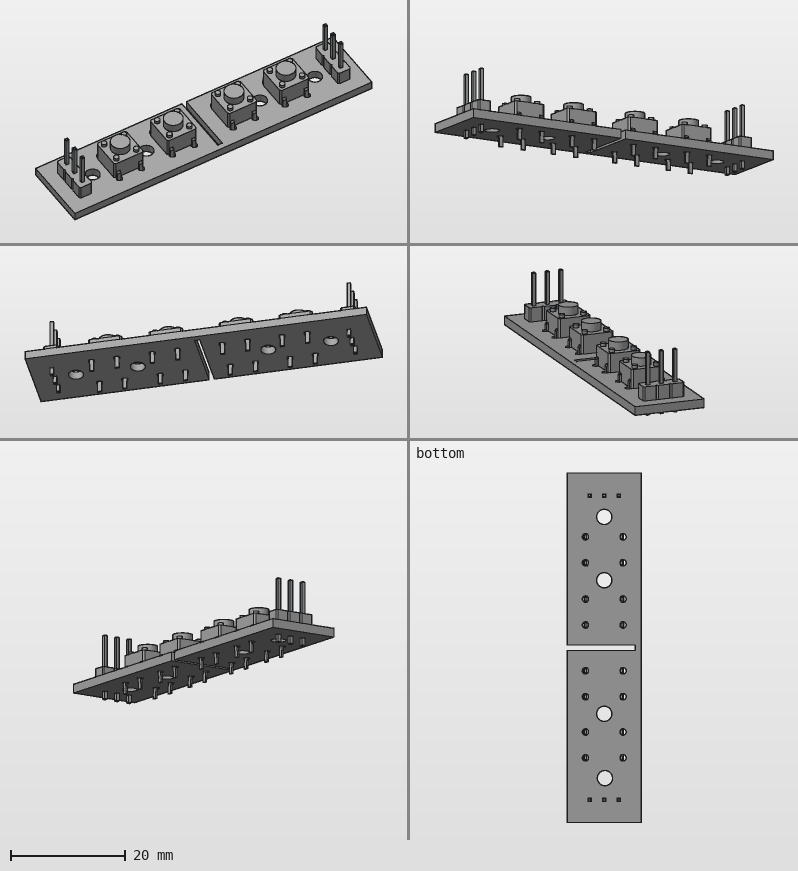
import cadquery as cq


BOARD_WIDTH = 13.0
BOARD_LENGTH = 61.0
BOARD_THICKNESS = 1.6
SLOT_DEPTH = 11.9
SLOT_WIDTH = 0.9
MOUNT_DIAMETER = 2.6
MOUNT_CENTRES = [(0.1, 22.75), (0, 11.5), (0, -11.8), (0, -22.8)]

SWITCH_CENTRES = [(-0.1, 16.95), (-0.1, 6.3), (-0.05, -6.2), (-0.1, -17.1)]
CASE_SIZE = 6.0
CASE_HEIGHT = 3.5
CASE_CHAMFER = 0.3
BUTTON_DIAMETER = 3.5
BUTTON_TOP = 5.0
STUD_DIAMETER = 1.0
STUD_TOP = 4.0
STUD_SPACING = 4.1

LEG_WIDTH = 0.75
LEG_THICKNESS = 0.3
LEG_SPACING = 4.5
LEG_BULGE = 0.2
LEG_TOP = 1.45
LEG_SHOULDER = 1.1
LEG_BULGE_START = -0.25
LEG_BULGE_PEAK = -1.2
LEG_BULGE_END = -2.5
LEG_BOTTOM = -3.5
LEG_HOLE_DIAMETER = 1.1
LEG_HOLE_ROW_SPACING = 6.5

HEADER_OFFSET = 26.55
PIN_COUNT = 3
PIN_PITCH = 2.55
HEADER_HEIGHT = 2.55
HEADER_CHAMFER = 0.25
PIN_SIZE = 0.6
PIN_TOP = 8.55
PIN_BOTTOM = -3.0
PIN_TIP_CHAMFER = 0.1

PIN_OFFSETS = [(i - (PIN_COUNT - 1) / 2) * PIN_PITCH for i in range(PIN_COUNT)]
HEADER_CENTRES = [(0, HEADER_OFFSET), (0, -HEADER_OFFSET)]


def block(size_x, size_y, bottom, top):
    """Box centred on the Z axis between two heights."""
    return (
        cq.Workplane("XY", origin=(0, 0, bottom))
        .rect(size_x, size_y)
        .extrude(top - bottom)
    )


def make_board():
    board = block(BOARD_WIDTH, BOARD_LENGTH, -BOARD_THICKNESS, 0)

    slot = block(SLOT_DEPTH, SLOT_WIDTH, -BOARD_THICKNESS, 0)
    board = board.cut(slot.translate(((SLOT_DEPTH - BOARD_WIDTH) / 2, 0, 0)))

    mounts = cq.Workplane("XY").pushPoints(MOUNT_CENTRES).circle(MOUNT_DIAMETER / 2)
    board = board.cut(mounts.extrude(-BOARD_THICKNESS))

    leg_points = [
        (side * LEG_HOLE_ROW_SPACING / 2, y + end * LEG_SPACING / 2)
        for _, y in SWITCH_CENTRES
        for side in (-1, 1)
        for end in (-1, 1)
    ]
    leg_holes = cq.Workplane("XY").pushPoints(leg_points).circle(LEG_HOLE_DIAMETER / 2)
    board = board.cut(leg_holes.extrude(-BOARD_THICKNESS))

    pin_points = [(x + offset, y) for x, y in HEADER_CENTRES for offset in PIN_OFFSETS]
    pin_holes = cq.Workplane("XY").pushPoints(pin_points).rect(PIN_SIZE, PIN_SIZE)
    return board.cut(pin_holes.extrude(-BOARD_THICKNESS))


def make_leg():
    """Leg on the +X side of a switch, centred on Y = 0."""
    inner = CASE_SIZE / 2
    outer = inner + LEG_THICKNESS
    profile = [
        (inner, LEG_TOP),
        (outer, LEG_SHOULDER),
        (outer, LEG_BULGE_START),
        (outer + LEG_BULGE, LEG_BULGE_PEAK),
        (outer, LEG_BULGE_END),
        (outer, LEG_BOTTOM),
        (inner, LEG_BOTTOM),
        (inner, LEG_BULGE_END),
        (inner + LEG_BULGE, LEG_BULGE_PEAK),
        (inner, LEG_BULGE_START),
    ]
    return cq.Workplane("XZ").polyline(profile).close().extrude(LEG_WIDTH / 2, both=True)


def make_switch():
    case = block(CASE_SIZE, CASE_SIZE, 0, CASE_HEIGHT).edges("|Z").chamfer(CASE_CHAMFER)
    top = case.faces(">Z").workplane()
    button = top.circle(BUTTON_DIAMETER / 2).extrude(BUTTON_TOP - CASE_HEIGHT, combine=False)
    studs = (
        top.rect(STUD_SPACING, STUD_SPACING, forConstruction=True)
        .vertices()
        .circle(STUD_DIAMETER / 2)
        .extrude(STUD_TOP - CASE_HEIGHT, combine=False)
    )
    switch = case.union(button).union(studs)

    right_leg = make_leg()
    left_leg = right_leg.mirror("YZ")
    for end in (-1, 1):
        shift = (0, end * LEG_SPACING / 2, 0)
        switch = switch.union(right_leg.translate(shift)).union(left_leg.translate(shift))
    return switch


def make_header():
    """One block and one pin per position; the chamfers leave V-grooves between blocks."""
    housing = block(PIN_PITCH, PIN_PITCH, 0, HEADER_HEIGHT).edges("|Z").chamfer(HEADER_CHAMFER)
    pin = (
        block(PIN_SIZE, PIN_SIZE, PIN_BOTTOM, PIN_TOP)
        .faces("<Z or >Z")
        .edges()
        .chamfer(PIN_TIP_CHAMFER)
    )
    position = housing.union(pin)

    header = position.translate((PIN_OFFSETS[0], 0, 0))
    for offset in PIN_OFFSETS[1:]:
        header = header.union(position.translate((offset, 0, 0)))
    return header


board = make_board()
switches = [make_switch().translate((x, y, 0)) for x, y in SWITCH_CENTRES]
headers = [make_header().translate((x, y, 0)) for x, y in HEADER_CENTRES]

result = cq.Compound.makeCompound(
    [body.solids().val() for body in [board, *switches, *headers]]
)